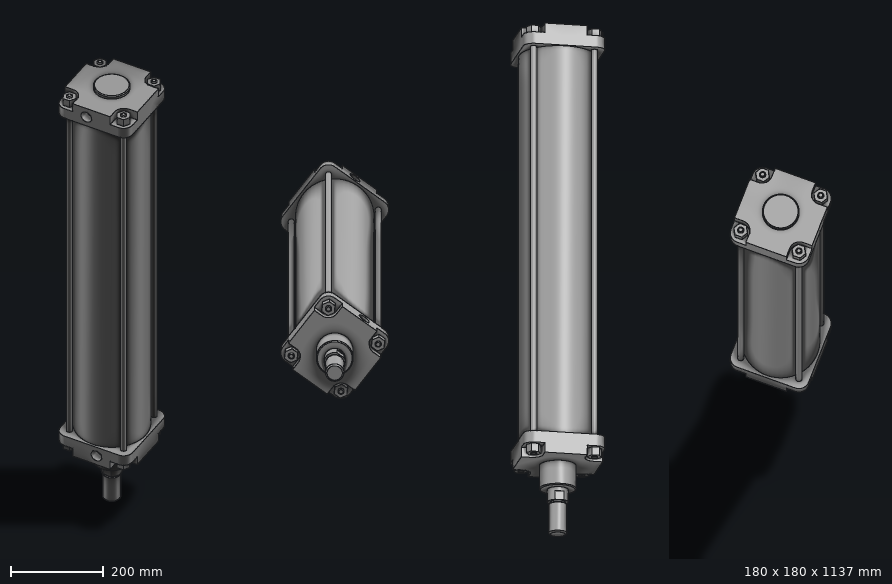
import cadquery as cq

total_length = 1137.0
rod_thread_top = 69.0
rod_groove_top = 73.0
rod_flats_top = 92.0
neck_bottom = 101.0
front_head_bottom = 156.0
rear_boss_height = 8.0
head_thickness = 48.0
front_head_top = front_head_bottom + head_thickness
rear_head_top = total_length - rear_boss_height
rear_head_bottom = rear_head_top - head_thickness

head_side = 180.0
tie_rod_offset = 67.0
head_corner_radius = head_side / 2 - tie_rod_offset
boss_diameter = 80.0
boss_chamfer = 2.0
pocket_depth = 22.0
pocket_reach = 43.0
pocket_corner_radius = 23.0
port_diameter = 26.0
port_depth = 23.0
port_offset = 13.0

barrel_diameter = 169.0
tie_rod_diameter = 14.0
tie_rod_chamfer = 2.0
nut_across_corners = 32.0
nut_height = 18.0
rod_diameter = 45.0
rod_across_flats = 41.0
thread_diameter = 40.0
groove_diameter = 34.0
tip_chamfer = 3.0
thread_runout_chamfer = 2.0


def corner_points(offset):
    """Four points at the given distance from the axis along both X and Y."""
    return [(x * offset, y * offset) for x in (-1, 1) for y in (-1, 1)]


def cylinder(diameter, bottom, top):
    """Upright cylinder on the Z axis between two heights."""
    return cq.Workplane("XY", origin=(0, 0, bottom)).circle(diameter / 2).extrude(top - bottom)


def make_head(bottom, pocket_bottom, port_x):
    """Square head with four nut pockets, tie rod holes and one port on the -Y side."""
    head = (
        cq.Workplane("XY", origin=(0, 0, bottom))
        .rect(head_side, head_side)
        .extrude(head_thickness)
        .edges("|Z")
        .fillet(head_corner_radius)
    )
    pockets = (
        cq.Workplane("XY", origin=(0, 0, pocket_bottom))
        .pushPoints(corner_points(head_side / 2))
        .rect(2 * pocket_reach, 2 * pocket_reach)
        .extrude(pocket_depth)
        .edges("|Z")
        .fillet(pocket_corner_radius)
    )
    tie_rod_holes = (
        cq.Workplane("XY", origin=(0, 0, bottom))
        .pushPoints(corner_points(tie_rod_offset))
        .circle(tie_rod_diameter / 2)
        .extrude(head_thickness)
    )
    port = (
        cq.Workplane("XZ", origin=(port_x, -head_side / 2, bottom + head_thickness / 2))
        .circle(port_diameter / 2)
        .extrude(-port_depth)
    )
    return head.cut(pockets).cut(tie_rod_holes).cut(port)


def make_front_head():
    """Rod-side head: pockets open downward and a long neck surrounds the axis below it."""
    neck = cylinder(boss_diameter, neck_bottom, front_head_bottom).faces("<Z").chamfer(boss_chamfer)
    return make_head(front_head_bottom, front_head_bottom, port_offset).union(neck)


def make_rear_head():
    """Closed end head: pockets open upward and a low round boss sits on top."""
    boss = cylinder(boss_diameter, rear_head_top, total_length).faces(">Z").chamfer(boss_chamfer)
    return make_head(rear_head_bottom, rear_head_top - pocket_depth, -port_offset).union(boss)


def make_barrel():
    """Round barrel held between the two heads."""
    return cylinder(barrel_diameter, front_head_top, rear_head_bottom)


def make_tie_rod(position):
    """Tie rod with chamfered ends and a hexagonal nut seated on each pocket floor."""
    tie_rod = cylinder(tie_rod_diameter, front_head_bottom, rear_head_top)
    tie_rod = tie_rod.faces("<Z or >Z").chamfer(tie_rod_chamfer)
    front_nut_bottom = front_head_bottom + pocket_depth - nut_height
    rear_nut_bottom = rear_head_top - pocket_depth
    for nut_bottom in (front_nut_bottom, rear_nut_bottom):
        nut = (
            cq.Workplane("XY", origin=(0, 0, nut_bottom))
            .polygon(6, nut_across_corners)
            .extrude(nut_height)
        )
        tie_rod = tie_rod.union(nut)
    x, y = position
    return tie_rod.translate((x, y, 0))


def make_piston_rod():
    """Exposed rod end: round shank, wrench flats facing Y, relief groove and threaded tip."""
    thread = cylinder(thread_diameter, 0, rod_thread_top)
    thread = thread.faces("<Z").chamfer(tip_chamfer).faces(">Z").chamfer(thread_runout_chamfer)
    groove = cylinder(groove_diameter, rod_thread_top, rod_groove_top)
    shank = cylinder(rod_diameter, rod_flats_top, neck_bottom)
    flats = cylinder(rod_diameter, rod_groove_top, rod_flats_top).intersect(
        cq.Workplane("XY", origin=(0, 0, rod_groove_top))
        .rect(rod_diameter, rod_across_flats)
        .extrude(rod_flats_top - rod_groove_top)
    )
    return shank.union(flats).union(groove).union(thread)


front_head = make_front_head()
rear_head = make_rear_head()
barrel = make_barrel()
piston_rod = make_piston_rod()
tie_rods = [make_tie_rod(position) for position in corner_points(tie_rod_offset)]

result = cq.Compound.makeCompound(
    [
        front_head.val(),
        rear_head.val(),
        barrel.val(),
        piston_rod.val(),
        *[tie_rod.val() for tie_rod in tie_rods],
    ]
)